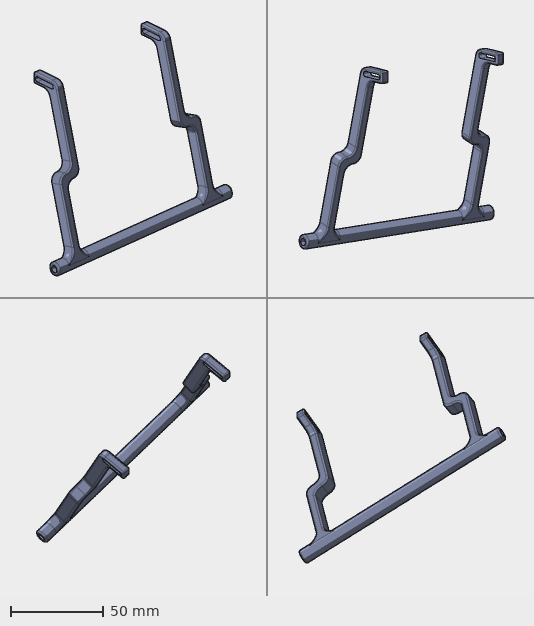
import cadquery as cq
import math

rod_length = 130.0
rod_diameter = 8.0
rod_radius = rod_diameter / 2
bore_diameter = 4.0
bore_depth = 5.0

overall_depth = 44.0
overall_height = 101.5
edge_radius = 1.0

lean_angle = 15.0
lean = math.radians(lean_angle)
arm_half_width = rod_radius
foot_offset = 50.0
bend_shift = 10.0
bend_radius = bend_shift / 2
bend_height = 47.5
arm_thickness = bend_radius
half_thickness = arm_thickness / 2
flare_radius = bend_radius

tip_height = 6.9
tip_radius = bend_radius
tip_top = overall_height - rod_radius
tip_bottom = tip_top - tip_height
tip_end = rod_radius - overall_depth
slot_height = 3.0
slot_length = 14.0
slot_end_wall = 1.5


def lean_back(body):
    """Turn a body built upright on the rod axis to the angle of the arms."""
    return body.rotate((0, 0, 0), (0, 1, 0), -lean_angle)


def arm_edge_x(side, z):
    """X at height z on the leaning edge of the arm; side is -1 or +1."""
    return side * arm_half_width / math.cos(lean) - z * math.tan(lean)


def make_rod():
    rod = cq.Workplane("XZ", origin=(0, rod_length / 2, 0)).circle(rod_radius).extrude(rod_length)
    rod = rod.faces("<Y or >Y").edges().fillet(edge_radius)
    for end_face in ("<Y", ">Y"):
        rod = rod.faces(end_face).workplane().hole(bore_diameter, bore_depth)
    return rod


def make_stepped_bar():
    """Arm shape across its thickness: a bar that steps toward the middle of the rod."""
    foot_outer = foot_offset + half_thickness
    foot_inner = foot_offset - half_thickness
    top_outer = foot_outer - bend_shift
    top_inner = foot_inner - bend_shift
    bend_top = bend_height + half_thickness
    bend_bottom = bend_height - half_thickness
    bar_top = overall_height / math.cos(lean)
    outline = (
        cq.Workplane("YZ")
        .moveTo(foot_outer, 0)
        .lineTo(foot_outer, bend_top - bend_radius)
        .tangentArcPoint((foot_outer - bend_radius, bend_top), relative=False)
        .tangentArcPoint((top_outer, bend_top + bend_radius), relative=False)
        .lineTo(top_outer, bar_top)
        .lineTo(top_inner, bar_top)
        .lineTo(top_inner, bend_bottom + bend_radius)
        .tangentArcPoint((top_inner + bend_radius, bend_bottom), relative=False)
        .tangentArcPoint((foot_inner, bend_bottom - bend_radius), relative=False)
        .lineTo(foot_inner, 0)
        .close()
    )
    return lean_back(outline.extrude(overall_depth, both=True))


def make_hook():
    """Arm shape across its width: a leaning bar with a level tip and a rounded corner."""
    foot_x = arm_half_width * math.cos(lean)
    foot_z = arm_half_width * math.sin(lean)
    outer_corner = (arm_edge_x(1, tip_top), tip_top)
    inner_corner = (arm_edge_x(-1, tip_bottom), tip_bottom)
    hook = (
        cq.Workplane("XZ")
        .moveTo(foot_x, foot_z)
        .lineTo(*outer_corner)
        .lineTo(tip_end, tip_top)
        .lineTo(tip_end, tip_bottom)
        .lineTo(*inner_corner)
        .lineTo(-foot_x, -foot_z)
        .close()
        .extrude(rod_length / 2, both=True)
    )
    for x, z in (outer_corner, inner_corner):
        hook = hook.edges(cq.selectors.NearestToPointSelector((x, 0, z))).fillet(tip_radius)
    return hook


def make_flare():
    """Concave flare around the rod, kept to the arm's width and above the rod axis."""
    reach = half_thickness + flare_radius
    crest = rod_radius + flare_radius
    ring = (
        cq.Workplane("YZ")
        .moveTo(-reach, 0)
        .lineTo(-reach, rod_radius)
        .radiusArc((-half_thickness, crest), -flare_radius)
        .lineTo(half_thickness, crest)
        .radiusArc((reach, rod_radius), -flare_radius)
        .lineTo(reach, 0)
        .close()
        .revolve(360, (0, 0, 0), (1, 0, 0))
    )
    slab = cq.Workplane("XY").box(2 * arm_half_width, 2 * reach, crest, centered=(True, True, False))
    return lean_back(ring.intersect(slab)).translate((0, foot_offset, 0))


def make_slot():
    slot_x = tip_end + slot_end_wall + slot_length / 2
    slot_z = (tip_top + tip_bottom) / 2
    slot = cq.Workplane("XZ").center(slot_x, slot_z).slot2D(slot_length, slot_height)
    return slot.extrude(rod_length / 2, both=True)


def make_arm():
    """The arm on the +Y side."""
    arm = make_hook().intersect(make_stepped_bar()).union(make_flare())
    along_arm = cq.Vector(-math.sin(lean), 0, math.cos(lean))
    long_edges = arm.edges(cq.selectors.ParallelDirSelector(along_arm))
    tip_edges = arm.faces("<X").edges()
    return long_edges.add(tip_edges).fillet(edge_radius).cut(make_slot())


far_arm = make_arm()
near_arm = far_arm.mirror("XZ")
result = make_rod().union(far_arm).union(near_arm)